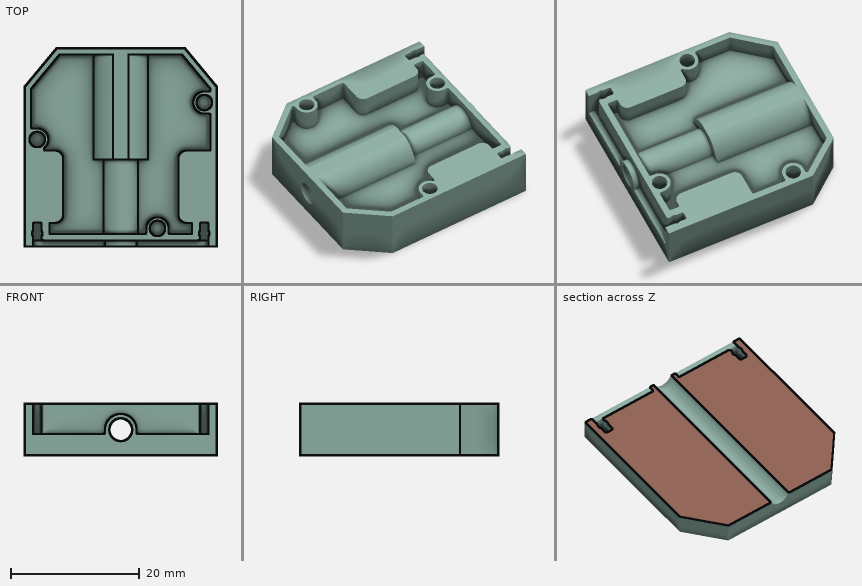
import cadquery as cq
import math

width = 30.0
length = 31.0
height = 8.1
bevel_x = 5.0
bevel_y = 6.0
half_width = width / 2

wall = 1.0
floor_z = 4.5
ledge_top_y = 15.0
ledge_bottom_y = 3.72
ledge_half_gap = 9.0
front_pocket_half_width = 11.15
front_pocket_y = 2 * wall
ledge_radius = 1.25
corner_radius = 0.25

post_radius = 1.75
post_hole_radius = 1.2
post_inset = 1.95
left_post = (-half_width + post_inset, ledge_top_y + post_radius)
right_post = (half_width - post_inset, 22.5)
front_post = (5.75, 2.85)

shaft_z = 4.0
bore_radius = 1.77
small_housing_radius = 2.75
large_housing_radius = 4.28
large_housing_y = 13.58

groove_z = 3.35
groove_half_width = 13.7
collar_radius = 2.48
slot_width = 1.33
slot_end_y = 3.75
slot_floor_z = wall
slot_bulge_radius = 0.8
slot_bulge_y = 2.05
slot_x = groove_half_width - slot_width / 2


def block(x_min, x_max, y_min, y_max, z_min, z_max=height):
    size = (x_max - x_min, y_max - y_min, z_max - z_min)
    return cq.Workplane("XY").box(*size, centered=False).translate((x_min, y_min, z_min))


def disc(center, radius, z_min):
    return cq.Workplane("XY", origin=(*center, z_min)).circle(radius).extrude(height - z_min)


def y_cylinder(radius, y_min, y_max):
    plane = cq.Workplane("XZ", origin=(0, y_min, shaft_z))
    return plane.circle(radius).extrude(-(y_max - y_min))


def round_corners(solid, corners, radius):
    """Fillet the vertical edges that stand at the given XY corners."""
    for x, y in corners:
        edge = cq.selectors.NearestToPointSelector((x, y, (floor_z + height) / 2))
        solid = solid.edges("|Z").edges(edge).fillet(radius)
    return solid


def make_body():
    outline = [
        (-half_width, 0),
        (half_width, 0),
        (half_width, length - bevel_y),
        (half_width - bevel_x, length),
        (-half_width + bevel_x, length),
        (-half_width, length - bevel_y),
    ]
    return cq.Workplane("XY").polyline(outline).close().extrude(height)


def left_post_web():
    """Fill the narrow gap between the left post and the ledge, with a rounded root."""
    post_x, post_y = left_post
    root_y = ledge_top_y + corner_radius
    root_x = post_x + math.sqrt((post_radius + corner_radius) ** 2 - (post_y - root_y) ** 2)
    outline = [left_post, (root_x, root_y), (root_x, ledge_top_y), (post_x, ledge_top_y)]
    web = cq.Workplane("XY", origin=(0, 0, floor_z)).polyline(outline).close()
    return web.extrude(height - floor_z).cut(disc((root_x, root_y), corner_radius, floor_z))


def make_pocket():
    """Pocket volume, leaving the posts and the shaft housing standing."""
    side_x = half_width - wall
    back_y = length - wall
    bevel_length = math.hypot(bevel_x, bevel_y)
    bevel_end_x = half_width - bevel_x - wall * (bevel_length - bevel_x) / bevel_y
    bevel_end_y = length - bevel_y - wall * (bevel_length - bevel_y) / bevel_x
    right_side = [
        (front_pocket_half_width, front_pocket_y),
        (front_pocket_half_width, ledge_bottom_y),
        (ledge_half_gap, ledge_bottom_y),
        (ledge_half_gap, ledge_top_y),
        (side_x, ledge_top_y),
        (side_x, bevel_end_y),
        (bevel_end_x, back_y),
    ]
    left_side = [(-x, y) for x, y in reversed(right_side)]
    pocket = cq.Workplane("XY", origin=(0, 0, floor_z)).polyline(right_side + left_side).close()
    pocket = pocket.extrude(height - floor_z)

    for x, y in (left_post, right_post, front_post):
        pocket = pocket.cut(disc((x, y), post_radius, floor_z))
    left_x, left_y = left_post
    right_x, right_y = right_post
    front_x, front_y = front_post
    left_top = left_y + post_radius
    right_bottom = right_y - post_radius
    right_top = right_y + post_radius
    pocket = pocket.cut(block(-half_width, left_x, ledge_top_y, left_top, floor_z))
    pocket = pocket.cut(block(right_x, half_width, right_bottom, right_top, floor_z))
    front_left = front_x - post_radius
    front_right = front_x + post_radius
    pocket = pocket.cut(block(front_left, front_right, 0, front_y, floor_z))
    pocket = pocket.cut(left_post_web())

    ledge_corners = [
        (side * ledge_half_gap, y)
        for side in (-1, 1)
        for y in (ledge_bottom_y, ledge_top_y)
    ]
    small_corners = [
        (side * front_pocket_half_width, y)
        for side in (-1, 1)
        for y in (front_pocket_y, ledge_bottom_y)
    ]
    small_corners += [
        (-side_x, left_top),
        (side_x, ledge_top_y),
        (side_x, right_bottom),
        (side_x, right_top),
        (front_left, front_pocket_y),
        (front_right, front_pocket_y),
        (-bevel_end_x, back_y),
        (bevel_end_x, back_y),
        (-side_x, bevel_end_y),
    ]
    pocket = round_corners(pocket, ledge_corners, ledge_radius)
    pocket = round_corners(pocket, small_corners, corner_radius)

    pocket = pocket.cut(y_cylinder(small_housing_radius, 0, large_housing_y))
    return pocket.cut(y_cylinder(large_housing_radius, large_housing_y, length))


def end_slot(side, y_min, z_min):
    """Slot at one end of the groove, with a round bulge partway along."""
    x = side * slot_x
    slot = block(x - slot_width / 2, x + slot_width / 2, y_min, slot_end_y, z_min)
    slot = slot.edges("|Z and >Y").fillet(corner_radius)
    return slot.union(disc((x, slot_bulge_y), slot_bulge_radius, z_min))


def make_groove():
    """Front groove with its end slots, leaving the collar around the bore."""
    groove = block(-groove_half_width, groove_half_width, 0, wall, groove_z)
    collar = y_cylinder(collar_radius, 0, wall)
    collar = collar.union(block(-collar_radius, collar_radius, 0, wall, 0, shaft_z))
    groove = groove.cut(collar)
    margin = corner_radius / 2
    collar_roots = cq.selectors.BoxSelector(
        (-collar_radius - margin, 0, groove_z - margin),
        (collar_radius + margin, wall, groove_z + margin),
    )
    groove = groove.edges("|Y").edges(collar_roots).fillet(corner_radius)

    for side in (-1, 1):
        groove = groove.union(end_slot(side, 0, groove_z))
    inner_x = slot_x - slot_width / 2
    groove = round_corners(groove, [(-inner_x, wall), (inner_x, wall)], corner_radius)

    for side in (-1, 1):
        groove = groove.union(end_slot(side, wall, slot_floor_z))
    return groove


result = make_body().cut(make_pocket()).cut(make_groove())
for post in (left_post, right_post, front_post):
    result = result.cut(disc(post, post_hole_radius, floor_z))
result = result.cut(y_cylinder(bore_radius, 0, length))